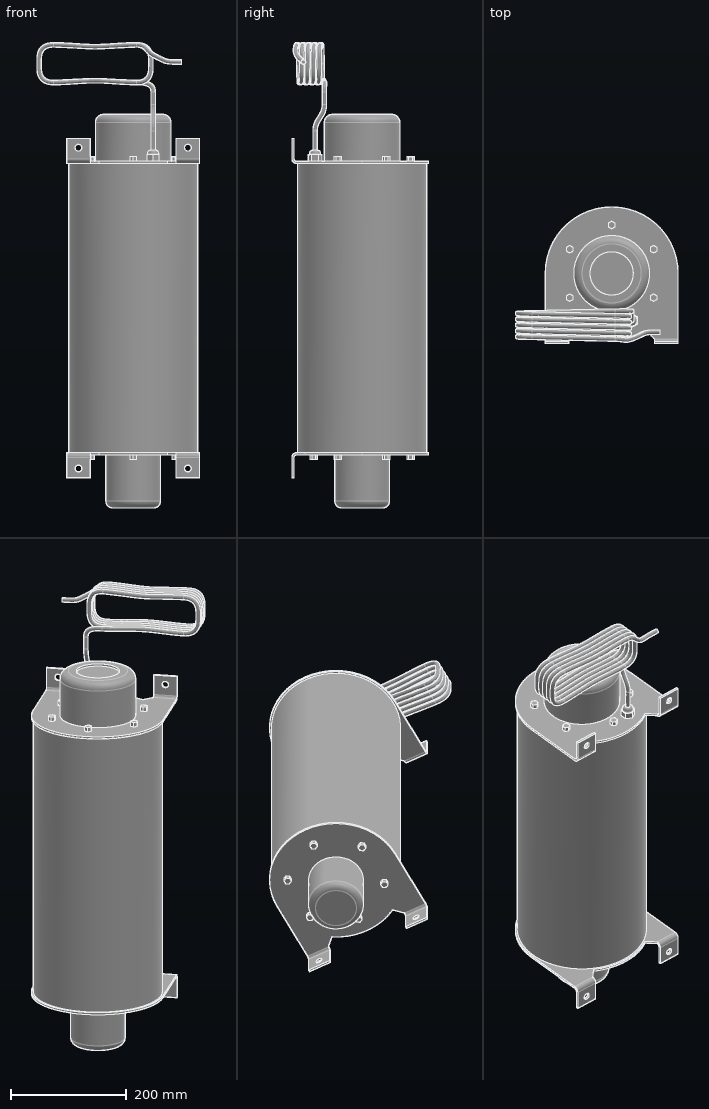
import cadquery as cq
import math


DRUM_DIAMETER = 224.0
LOWER_CAN_DIAMETER = 95.0
LOWER_CAN_FILLET = 12.0
UPPER_CAN_DIAMETER = 131.0
UPPER_CAN_FILLET = 14.5
UPPER_CAN_TOP = 681.0
CAN_RECESS_DIAMETER = 75.0
CAN_RECESS_DEPTH = 4.0

PLATE_THICKNESS = 4.0
PLATE_RADIUS = 115.0
LOWER_PLATE_BOTTOM = 92.0
UPPER_PLATE_TOP = 600.0
PLATE_FRONT = -121.5
TAB_WIDTH = 41.0
TAB_HEIGHT = 43.5
BEND_RADIUS = 8.0
TAB_HOLE_DIAMETER = 11.0
TAB_HOLE_HEIGHT = 27.0
TAB_INNER_X = PLATE_RADIUS - TAB_WIDTH

SCREW_COUNT = 6
SCREW_CIRCLE_RADIUS = 84.0
SCREW_HEAD_FLATS = 11.0
SCREW_HEAD_DIAMETER = SCREW_HEAD_FLATS / math.cos(math.pi / 6)
SCREW_HEAD_HEIGHT = 8.0

GLAND_X = 35.0
GLAND_Y = -81.0
GLAND_CAP_DIAMETER = 19.0
GLAND_HEX_FLATS = 21.0
GLAND_HEX_DIAMETER = GLAND_HEX_FLATS / math.cos(math.pi / 6)
GLAND_HEX_HEIGHT = 11.0
GLAND_HEIGHT = 19.0
GLAND_FILLET = 6.0
GLAND_TOP = UPPER_PLATE_TOP + GLAND_HEIGHT

CABLE_DIAMETER = 8.0
COIL_TURNS = 5
COIL_START_Y = -65.0
COIL_END_Y = -113.5
COIL_LEFT_X = -138.0
COIL_RIGHT_X = 6.0
COIL_BEND_REACH = 25.0
COIL_TOP_Z = 805 - CABLE_DIAMETER / 2
COIL_BOTTOM_Z = 736.0
RUN_BOW = 3.0
COIL_RUN_LENGTH = COIL_RIGHT_X - COIL_LEFT_X
COIL_BEND_LENGTH = COIL_TOP_Z - COIL_BOTTOM_Z + (math.pi - 2) * COIL_BEND_REACH
COIL_LENGTH = COIL_TURNS * (2 * COIL_RUN_LENGTH + 2 * COIL_BEND_LENGTH) - COIL_BEND_LENGTH
COIL_LEAN = (COIL_START_Y - COIL_END_Y) / COIL_LENGTH
RUN_FALL = COIL_LEAN * COIL_RUN_LENGTH
BEND_FALL = COIL_LEAN * COIL_BEND_LENGTH
COIL_PITCH = 2 * RUN_FALL + 2 * BEND_FALL

LEAD_BEND_START_Z = 652.0
LEAD_BEND_END_Z = 698.0
LEAD_TOP_Z = 720.0
FREE_END_POINTS = [(27.0, -115.0, 789.0), (51.0, -106.0, 775.0), (84.0, -101.5, 771.0)]


def cylinder(diameter, bottom, top):
    return cq.Workplane("XY").workplane(offset=bottom).circle(diameter / 2).extrude(top - bottom)


def make_end_plate():
    """Upper end plate with its top face at Z = 0 and the tabs bent upwards."""
    bend_y = PLATE_FRONT + BEND_RADIUS
    line_sum = TAB_INNER_X + bend_y
    arc_end_x = (line_sum + math.sqrt(2 * PLATE_RADIUS**2 - line_sum**2)) / 2
    arc_end_y = line_sum - arc_end_x
    plate = (
        cq.Workplane("XY").workplane(offset=-PLATE_THICKNESS)
        .moveTo(PLATE_RADIUS, 0)
        .threePointArc((0, PLATE_RADIUS), (-PLATE_RADIUS, 0))
        .lineTo(-PLATE_RADIUS, bend_y)
        .lineTo(-TAB_INNER_X, bend_y)
        .lineTo(-arc_end_x, arc_end_y)
        .threePointArc((0, -PLATE_RADIUS), (arc_end_x, arc_end_y))
        .lineTo(TAB_INNER_X, bend_y)
        .lineTo(PLATE_RADIUS, bend_y)
        .close()
        .extrude(PLATE_THICKNESS)
    )
    for left_x in (-PLATE_RADIUS, TAB_INNER_X):
        plate = plate.union(make_tab(left_x))
    return plate


def make_tab(left_x):
    """Bend and upright of one tab, starting at the front edge of the plate."""
    bend_y = PLATE_FRONT + BEND_RADIUS
    inner_radius = BEND_RADIUS - PLATE_THICKNESS
    outer_z = -PLATE_THICKNESS
    bend_z = outer_z + BEND_RADIUS
    slant = math.sqrt(0.5)
    tab = (
        cq.Workplane("YZ").workplane(offset=left_x)
        .moveTo(bend_y, outer_z)
        .threePointArc((bend_y - BEND_RADIUS * slant, bend_z - BEND_RADIUS * slant), (PLATE_FRONT, bend_z))
        .lineTo(PLATE_FRONT, outer_z + TAB_HEIGHT)
        .lineTo(PLATE_FRONT + PLATE_THICKNESS, outer_z + TAB_HEIGHT)
        .lineTo(PLATE_FRONT + PLATE_THICKNESS, bend_z)
        .threePointArc((bend_y - inner_radius * slant, bend_z - inner_radius * slant), (bend_y, 0))
        .close()
        .extrude(TAB_WIDTH)
    )
    hole = (
        cq.Workplane("XZ", origin=(left_x + TAB_WIDTH / 2, bend_y, outer_z + TAB_HOLE_HEIGHT))
        .circle(TAB_HOLE_DIAMETER / 2)
        .extrude(BEND_RADIUS)
    )
    return tab.cut(hole)


def make_screw_heads():
    """Ring of hexagonal heads standing on Z = 0, one of them on the -Y side."""
    return (
        cq.Workplane("XY")
        .polarArray(SCREW_CIRCLE_RADIUS, -90, 360, SCREW_COUNT)
        .polygon(6, SCREW_HEAD_DIAMETER)
        .extrude(SCREW_HEAD_HEIGHT)
    )


def make_gland():
    """Hexagon (two corners along Y) with a rounded cap, standing on the upper plate."""
    nut = cq.Workplane("XY").transformed(rotate=(0, 0, 90)).polygon(6, GLAND_HEX_DIAMETER)
    nut = nut.extrude(GLAND_HEX_HEIGHT)
    cap = cylinder(GLAND_CAP_DIAMETER, 0, GLAND_HEIGHT).faces(">Z").edges().fillet(GLAND_FILLET)
    return nut.union(cap).translate((GLAND_X, GLAND_Y, UPPER_PLATE_TOP))


def make_housing():
    plate_end = make_end_plate().union(make_screw_heads())
    upper_end = plate_end.translate((0, 0, UPPER_PLATE_TOP))
    lower_end = plate_end.mirror("XY").translate((0, 0, LOWER_PLATE_BOTTOM))

    drum = cylinder(
        DRUM_DIAMETER, LOWER_PLATE_BOTTOM + PLATE_THICKNESS, UPPER_PLATE_TOP - PLATE_THICKNESS
    )
    lower_can = cylinder(LOWER_CAN_DIAMETER, 0, LOWER_PLATE_BOTTOM)
    lower_can = lower_can.faces("<Z").edges().fillet(LOWER_CAN_FILLET)
    upper_can = cylinder(UPPER_CAN_DIAMETER, UPPER_PLATE_TOP, UPPER_CAN_TOP)
    upper_can = upper_can.faces(">Z").edges().fillet(UPPER_CAN_FILLET)
    recess = cylinder(CAN_RECESS_DIAMETER, UPPER_CAN_TOP - CAN_RECESS_DEPTH, UPPER_CAN_TOP)

    housing = drum.union(upper_end).union(lower_end).union(lower_can)
    return housing.union(upper_can.cut(recess)).union(make_gland())


def spline(points, tangents):
    """Smooth edge through the points; tangents are given at both ends or at every point."""
    return cq.Edge.makeSpline(
        [cq.Vector(*point) for point in points],
        tangents=[cq.Vector(*tangent) for tangent in tangents],
    )


def coil_run(start_x, end_x, start_y, end_z, bow):
    """One long run of the coil at height end_z, its middle displaced by bow along Z."""
    direction = (math.copysign(1, end_x - start_x), -COIL_LEAN, 0)
    end_y = start_y - RUN_FALL
    points = [
        (start_x, start_y, end_z),
        ((start_x + end_x) / 2, (start_y + end_y) / 2, end_z + bow),
        (end_x, end_y, end_z),
    ]
    return spline(points, [direction, direction])


def coil_bend(x, start_y, start_z, end_z, side):
    """Bend joining two long runs at x; side is -1 for the -X end of the coil and 1 for the +X end."""
    rise = math.copysign(1, end_z - start_z)
    points = [
        (x, start_y, start_z),
        (x + side * COIL_BEND_REACH, start_y - BEND_FALL / 2, (start_z + end_z) / 2),
        (x, start_y - BEND_FALL, end_z),
    ]
    return spline(points, [(side, -COIL_LEAN, 0), (0, -COIL_LEAN, rise), (-side, -COIL_LEAN, 0)])


def make_coil_edges():
    """Edges of all turns, from the +X end of the first bottom run to that of the last top run."""
    edges = []
    for turn in range(COIL_TURNS):
        bottom_y = COIL_START_Y - turn * COIL_PITCH
        left_y = bottom_y - RUN_FALL
        top_y = left_y - BEND_FALL
        right_y = top_y - RUN_FALL
        edges.append(coil_run(COIL_RIGHT_X, COIL_LEFT_X, bottom_y, COIL_BOTTOM_Z, RUN_BOW))
        edges.append(coil_bend(COIL_LEFT_X, left_y, COIL_BOTTOM_Z, COIL_TOP_Z, -1))
        edges.append(coil_run(COIL_LEFT_X, COIL_RIGHT_X, top_y, COIL_TOP_Z, -RUN_BOW))
        if turn < COIL_TURNS - 1:
            edges.append(coil_bend(COIL_RIGHT_X, right_y, COIL_TOP_Z, COIL_BOTTOM_Z, 1))
    return edges


def make_cable():
    up = (0, 0, 1)
    gland_point = (GLAND_X, GLAND_Y, GLAND_TOP)
    bend_start = (GLAND_X, GLAND_Y, LEAD_BEND_START_Z)
    bend_end = (GLAND_X, COIL_START_Y, LEAD_BEND_END_Z)
    lead_top = (GLAND_X, COIL_START_Y, LEAD_TOP_Z)
    coil_start = (COIL_RIGHT_X, COIL_START_Y, COIL_BOTTOM_Z)
    coil_end = (COIL_RIGHT_X, COIL_END_Y, COIL_TOP_Z)
    path = cq.Wire.assembleEdges([
        cq.Edge.makeLine(cq.Vector(*gland_point), cq.Vector(*bend_start)),
        spline([bend_start, bend_end], [up, up]),
        cq.Edge.makeLine(cq.Vector(*bend_end), cq.Vector(*lead_top)),
        spline([lead_top, coil_start], [up, (-1, -COIL_LEAN, 0)]),
        *make_coil_edges(),
        spline([coil_end, *FREE_END_POINTS], [(1, -COIL_LEAN, 0), (1, 0, 0)]),
    ])
    profile = cq.Workplane("XY", origin=gland_point).circle(CABLE_DIAMETER / 2)
    return profile.sweep(cq.Workplane(path))


housing = make_housing()
cable = make_cable()

result = cq.Compound.makeCompound([*housing.solids().vals(), cable.val()])